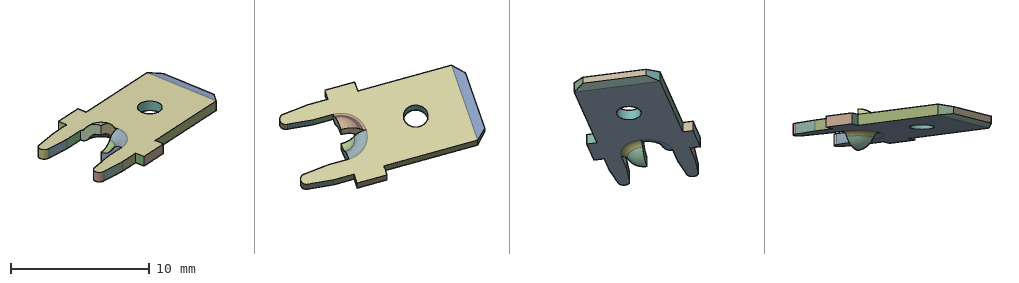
import cadquery as cq
import math

length = 14.02
thickness = 0.81
blade_width = 6.4
shoulder_width = 7.92
shoulder_bottom = 3.84
shoulder_top = 6.11

lead_in_length = 0.81
lead_in_end_width = 4.71
lead_in_end_thickness = 0.52

hole_diameter = 1.78
hole_y = 9.5

leg_inner_x = 1.9
leg_taper_y = 2.3
leg_tip_radius = 0.43

dome_radius = leg_inner_x
dome_height = 1.12
raised_outer_crown_radius = 1.78
raised_outer_flank = 0.42
raised_inner_crown_radius = 1.28
sunken_outer_crown_radius = 1.61
sunken_inner_crown_radius = 1.12

half_thickness = thickness / 2
blade_x = blade_width / 2
shoulder_x = shoulder_width / 2
lead_in_y = length - lead_in_length
leg_center_x = (leg_inner_x + blade_x) / 2


def make_blank():
    """Blade and shoulders, without the legs."""
    body_length = length - shoulder_bottom
    blade = cq.Workplane("XY").box(blade_width, body_length, thickness, centered=(True, False, True))
    blade = blade.translate((0, shoulder_bottom, 0))
    shoulders = cq.Workplane("XY").box(
        shoulder_width, shoulder_top - shoulder_bottom, thickness, centered=(True, False, True)
    )
    return blade.union(shoulders.translate((0, shoulder_bottom, 0)))


def make_leg(side):
    """Tapered leg with a round tip; side is -1 or 1."""
    inner_x = side * leg_inner_x
    outer_x = side * blade_x
    center_x = side * leg_center_x
    tip_offset = side * leg_tip_radius
    return (
        cq.Workplane("XY")
        .workplane(offset=-half_thickness)
        .moveTo(inner_x, shoulder_bottom)
        .lineTo(inner_x, leg_taper_y)
        .lineTo(center_x - tip_offset, leg_tip_radius)
        .threePointArc((center_x, 0), (center_x + tip_offset, leg_tip_radius))
        .lineTo(outer_x, leg_taper_y)
        .lineTo(outer_x, shoulder_bottom)
        .close()
        .extrude(thickness)
    )


def make_lead_in_envelope():
    """Region inside the lead-in: cut corners in plan, both faces sloped at the end."""
    end_x = lead_in_end_width / 2
    end_z = lead_in_end_thickness / 2
    plan = (
        cq.Workplane("XY")
        .polyline([
            (-shoulder_x, 0), (shoulder_x, 0), (shoulder_x, shoulder_top), (blade_x, shoulder_top),
            (blade_x, lead_in_y), (end_x, length), (-end_x, length), (-blade_x, lead_in_y),
            (-blade_x, shoulder_top), (-shoulder_x, shoulder_top),
        ])
        .close()
        .extrude(half_thickness, both=True)
    )
    side_section = (
        cq.Workplane("YZ")
        .polyline([
            (0, -half_thickness), (lead_in_y, -half_thickness), (length, -end_z),
            (length, end_z), (lead_in_y, half_thickness), (0, half_thickness),
        ])
        .close()
        .extrude(shoulder_x, both=True)
    )
    return plan.intersect(side_section)


def cut_round(body, center_y, radius):
    """Cut a vertical cylinder on X = 0 through the full thickness."""
    cutter = cq.Workplane("XY").cylinder(2 * thickness, radius)
    return body.cut(cutter.translate((0, center_y, 0)))


def make_dome(base_z, crown_radius, flank=0.0):
    """Solid quarter dome on -X, +Y: spherical crown, conical flank, flared foot, all tangent.

    The foot meets the plane at base_z; the solid goes on down to below the plate.
    """
    radius_sum = (dome_radius**2 + dome_height**2 - flank**2) / (2 * dome_height)
    foot_radius = radius_sum - crown_radius
    slope = math.atan2(dome_radius, radius_sum - dome_height) - math.atan2(flank, radius_sum)
    crown_z = base_z + dome_height

    def on_crown(angle):
        return (-crown_radius * math.sin(angle), crown_z - crown_radius * (1 - math.cos(angle)))

    def on_foot(angle):
        return (foot_radius * math.sin(angle) - dome_radius, base_z + foot_radius * (1 - math.cos(angle)))

    floor_z = -thickness
    profile = (
        cq.Workplane("XZ")
        .moveTo(0, floor_z)
        .lineTo(0, crown_z)
        .threePointArc(on_crown(slope / 2), on_crown(slope))
    )
    if flank > 0:
        profile = profile.lineTo(*on_foot(slope))
    profile = profile.threePointArc(on_foot(slope / 2), on_foot(0)).lineTo(-dome_radius, floor_z).close()
    dome = profile.revolve(90, (0, 0), (0, -1))
    return dome.translate((0, shoulder_bottom, 0))


def make_pressed_quarter(outer_crown_radius, inner_crown_radius, outer_flank=0.0):
    """Shell of metal bulging upwards on the -X side."""
    outer = make_dome(half_thickness, outer_crown_radius, outer_flank)
    return outer.cut(make_dome(-half_thickness, inner_crown_radius))


blank = make_blank().intersect(make_lead_in_envelope())
blank = cut_round(blank, hole_y, hole_diameter / 2)
blank = cut_round(blank, shoulder_bottom, dome_radius)

raised_quarter = make_pressed_quarter(
    raised_outer_crown_radius, raised_inner_crown_radius, raised_outer_flank
)
sunken_quarter = make_pressed_quarter(sunken_outer_crown_radius, sunken_inner_crown_radius)
sunken_quarter = sunken_quarter.rotate((0, 0, 0), (0, 1, 0), 180)

result = blank.union(raised_quarter).union(sunken_quarter)
for leg_side in (-1, 1):
    result = result.union(make_leg(leg_side))